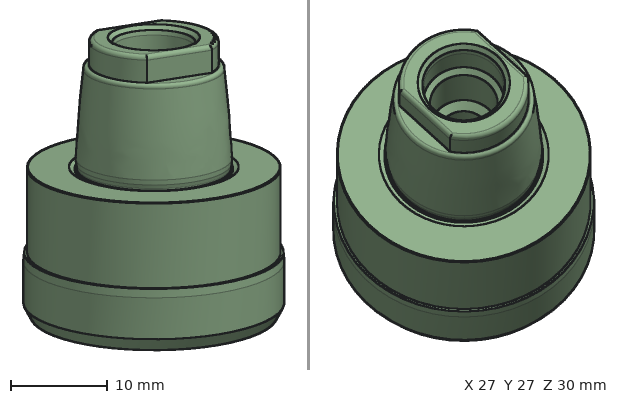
import cadquery as cq
import math

height = 29.95

base_radius = 13.5
base_bottom_radius = 12.75
base_chamfer_top = 1.4
collar_top_radius = 13.42
collar_taper_start = 5.87
collar_top = 6.8

body_radius = 13.12
body_top = 16.0
body_edge_chamfer = 0.1

recess_outer_radius = 8.78
recess_inner_radius = 8.2
recess_depth = 0.2

neck_root_radius = 7.97
neck_band_radius = 8.05
neck_band_z = 16.4
neck_radius = 8.1
neck_taper_start = 16.95
neck_top_radius = 7.3
neck_fillet_start = 26.55
neck_top = 27.0
neck_rim_radius = 6.85
neck_bulge = 0.1
rim_round_fraction = 0.75

cap_radius = 6.7
cap_edge_fillet = 0.5
flat_distance = 5.5
flat_normal_angle = -30.0

through_radius = 2.52
lower_bore_radius = 3.5
bore_radius = 4.15
bore_mouth_radius = 4.28
countersink_radius = 4.75
countersink_depth = 0.48
mouth_taper_depth = 1.0
bore_depth = 3.62
shoulder_depth = 4.1
lower_bore_depth = 8.98
cone_angle = 118.0


def revolved_body():
    """Base, body and tapered neck turned as one solid."""
    recess_floor = body_top - recess_depth
    taper_mid_radius = (neck_radius + neck_top_radius) / 2 + neck_bulge
    taper_mid_z = (neck_taper_start + neck_fillet_start) / 2
    rim_mid_radius = neck_rim_radius + rim_round_fraction * (neck_top_radius - neck_rim_radius)
    rim_mid_z = neck_fillet_start + rim_round_fraction * (neck_top - neck_fillet_start)
    profile = (
        cq.Workplane("XZ")
        .moveTo(0, 0)
        .lineTo(base_bottom_radius, 0)
        .lineTo(base_radius, base_chamfer_top)
        .lineTo(base_radius, collar_taper_start)
        .lineTo(collar_top_radius, collar_top)
        .lineTo(body_radius, collar_top)
        .lineTo(body_radius, body_top - body_edge_chamfer)
        .lineTo(body_radius - body_edge_chamfer, body_top)
        .lineTo(recess_outer_radius, body_top)
        .lineTo(recess_inner_radius, recess_floor)
        .lineTo(neck_root_radius, recess_floor)
        .lineTo(neck_root_radius, body_top)
        .lineTo(neck_band_radius, neck_band_z)
        .lineTo(neck_radius, neck_taper_start)
        .threePointArc((taper_mid_radius, taper_mid_z), (neck_top_radius, neck_fillet_start))
        .threePointArc((rim_mid_radius, rim_mid_z), (neck_rim_radius, neck_top))
        .lineTo(0, neck_top)
        .close()
    )
    return profile.revolve(360, (0, 0, 0), (0, 1, 0))


def wrench_cap():
    """Round cap with two parallel flats and a rounded top edge."""
    cap_height = height - neck_top
    cap = cq.Workplane("XY").workplane(offset=neck_top).circle(cap_radius).extrude(cap_height)
    slab = (
        cq.Workplane("XY")
        .workplane(offset=neck_top)
        .rect(2 * flat_distance, 2 * cap_radius)
        .extrude(cap_height)
        .rotate((0, 0, 0), (0, 0, 1), flat_normal_angle)
    )
    return cap.intersect(slab).faces(">Z").edges().fillet(cap_edge_fillet)


def stepped_bore():
    """Countersunk, stepped bore that narrows to the through hole."""
    cone_depth = (lower_bore_radius - through_radius) / math.tan(math.radians(cone_angle / 2))
    profile = (
        cq.Workplane("XZ")
        .moveTo(0, 0)
        .lineTo(through_radius, 0)
        .lineTo(through_radius, height - lower_bore_depth - cone_depth)
        .lineTo(lower_bore_radius, height - lower_bore_depth)
        .lineTo(lower_bore_radius, height - shoulder_depth)
        .lineTo(bore_radius, height - bore_depth)
        .lineTo(bore_radius, height - mouth_taper_depth)
        .lineTo(bore_mouth_radius, height - countersink_depth)
        .lineTo(countersink_radius, height)
        .lineTo(0, height)
        .close()
    )
    return profile.revolve(360, (0, 0, 0), (0, 1, 0))


result = revolved_body().union(wrench_cap()).cut(stepped_bore())